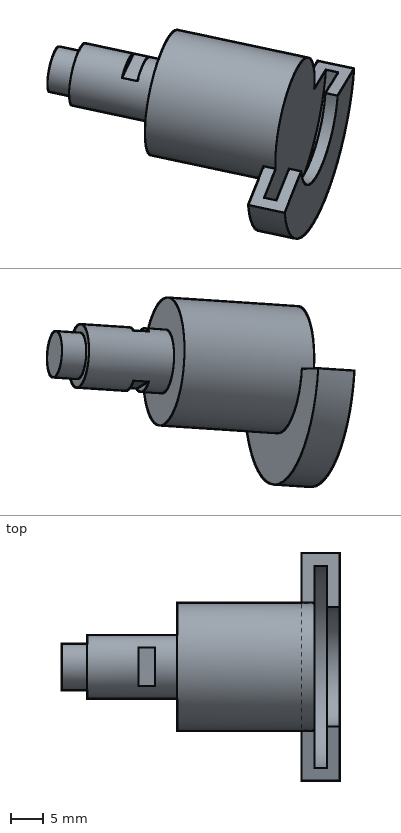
import cadquery as cq
import math

total_length = 43.3
stub_length = 4.0
stub_radius = 3.65
journal_length = 14.0
journal_radius = 5.0
body_radius = 10.0

flat_offset = 8.0
flat_width = 2.5
flat_height = 4.0

sector_radius = 18.0
sector_droop = 10.0
slot_radius = 15.98
rear_bore_radius = 9.45
wall_thickness = 2.0
slot_width = 2.0

journal_start = stub_length
body_start = journal_start + journal_length
rear_wall_start = total_length - wall_thickness
slot_start = rear_wall_start - slot_width
sector_start = slot_start - wall_thickness


def cylinder(start, end, radius):
    return cq.Workplane("YZ", origin=(start, 0, 0)).circle(radius).extrude(end - start)


def sector(start, end, radius):
    """Circular sector below the axis with its apex on the axis."""
    droop = math.radians(sector_droop)
    side_y = radius * math.cos(droop)
    side_z = -radius * math.sin(droop)
    return (
        cq.Workplane("YZ", origin=(start, 0, 0))
        .lineTo(side_y, side_z)
        .threePointArc((0, -radius), (-side_y, side_z))
        .close()
        .extrude(end - start)
    )


def flat_cutter(side):
    """Block removing the journal above (side=1) or below (side=-1) a flat."""
    depth = journal_radius - flat_height
    return cq.Workplane("XY").box(flat_width, 2 * journal_radius, depth).translate((
        journal_start + flat_offset + flat_width / 2,
        0,
        side * (flat_height + depth / 2),
    ))


counterweight = sector(sector_start, total_length, sector_radius)
counterweight = counterweight.cut(sector(slot_start, rear_wall_start, slot_radius))
counterweight = counterweight.cut(cylinder(rear_wall_start, total_length, rear_bore_radius))

shaft = cylinder(0, journal_start, stub_radius)
shaft = shaft.union(cylinder(journal_start, body_start, journal_radius))
shaft = shaft.union(cylinder(body_start, slot_start, body_radius))
for side in (1, -1):
    shaft = shaft.cut(flat_cutter(side))

result = shaft.union(counterweight)